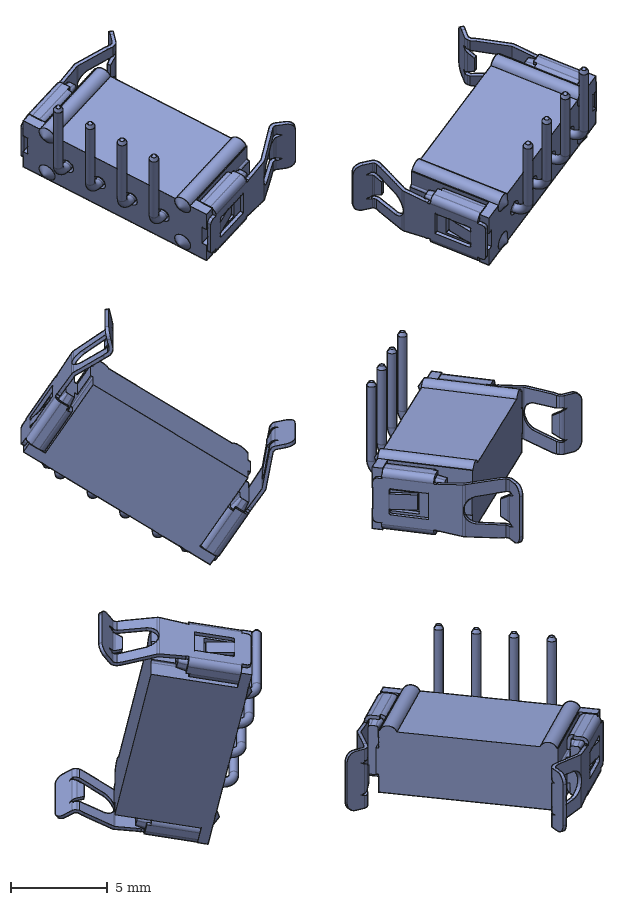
import cadquery as cq
import math


body_half_width = 4.76
body_length = 5.1
body_height = 3.55
mid_height = body_height / 2
flange_half_width = 5.75
flange_thickness = 0.56

peg_radius = 0.5
peg_x = 4.25
peg_spacing = 2.85
peg_cone_height = 0.3

pin_count = 4
pin_pitch = 2.0
pin_positions = [(i - (pin_count - 1) / 2) * pin_pitch for i in range(pin_count)]
pin_radius = 0.25
pin_drop = 0.8
pin_bend_radius = 0.79
pin_insertion = 1.19
pin_top = 7.05
pin_tip_radius = 0.13
pin_tip_length = 0.2
countersink_radius = 0.4
countersink_depth = 0.15

sheet = 0.2
clip_outer_x = 5.95
clip_inner_x = body_half_width
sleeve_height = 3.45
sleeve_radius = 0.37
sleeve_end_y = 3.34
inner_wall_end_y = 3.14
inner_wall_gap = 1.67
clip_front_y = 0.08
front_tab_half_height = 1.27
front_tab_radius = 0.24

leaf_bend_y = 4.96
waist_x = 5.09
waist_start_y = 6.97
waist_end_y = 7.14
leaf_tip_y = 8.06
bend_radius = 0.14
flare_start_y = 3.69
flare_end_y = 6.66
leaf_half_height = 1.69
leaf_corner_radius = 0.52
relief_radius = 0.08
relief_depth = 0.05

opening_y = 4.93
opening_arc_y = 5.51
opening_arc_half_height = 0.79
slot_y = 7.25
slot_half_height = 1.0
slot_tip_y = 7.4
slot_tip_half_height = 0.9
tongue_end_y = 6.68
tongue_half_height = 0.49

window_start_y = 0.96
window_end_y = 3.06
window_half_height = 0.75
window_radius = 0.1
barb_end_y = 2.39
barb_half_height = 0.44
barb_depth = 0.29

block_radius = 0.25
block_end_y = 3.85
block_taper = 0.13
pocket_end_y = 2.51
pocket_half_height = 0.61
rib_x = 4.91
rib_height = 1.48
rib_faces_z = (mid_height - rib_height / 2, mid_height + rib_height / 2)
rib_fillet = 0.08
block_fillet = 0.05


def box(x_range, y_range, z_range):
    """Axis-aligned box between the given limits."""
    size = [high - low for low, high in (x_range, y_range, z_range)]
    return cq.Workplane("XY").box(*size, centered=False).translate((x_range[0], y_range[0], z_range[0]))


def mid_box(x_range, y_range, half_height):
    """Box centred on the middle height of the housing."""
    return box(x_range, y_range, (mid_height - half_height, mid_height + half_height))


def nearest(x, y, z):
    """Selector of the edge whose middle is nearest the given point."""
    return cq.selectors.NearestToPointSelector((x, y, z))


def mirrored(shape):
    """Copy of a left-hand shape on the right side."""
    return shape.mirror("YZ")


def side_prism(outline):
    """Extrude a closed (y, z) wire outline, z measured from mid height, across the left side."""
    return outline.extrude(clip_outer_x).translate((-clip_outer_x, 0, mid_height))


def plan_prism(points, half_height):
    """Extrude a closed (x, y) polygon to both sides of mid height."""
    outline = cq.Workplane("XY", origin=(0, 0, mid_height)).polyline(points).close()
    return outline.extrude(half_height, both=True)


def folded_strip(points, thickness):
    """Points of a folded strip: the given face, then the face offset to its right with mitred folds."""
    normals = []
    for (x0, y0), (x1, y1) in zip(points, points[1:]):
        run = math.hypot(x1 - x0, y1 - y0)
        normals.append(((y1 - y0) / run, (x0 - x1) / run))
    offset_face = []
    for (x, y), (ax, ay), (bx, by) in zip(points, normals[:1] + normals, normals + normals[-1:]):
        mitre = thickness / (1 + ax * bx + ay * by)
        offset_face.append((x + mitre * (ax + bx), y + mitre * (ay + by)))
    return points + offset_face[::-1]


def make_peg(x, z):
    """Round peg along the housing with a conical nose in front of it."""
    profile = [(0, -peg_cone_height), (peg_radius, 0), (peg_radius, body_length), (0, body_length)]
    peg = cq.Workplane("XY").polyline(profile).close().revolve(360, (0, 0, 0), (0, 1, 0))
    return peg.translate((x, 0, z))


def make_carrier():
    """Left block that carries a clip, with a tapered end and the rib that joins it to the body."""
    inner_x = clip_inner_x + sheet
    half_height = sleeve_height / 2 - sheet
    block = mid_box((-flange_half_width, -inner_x), (0, inner_wall_end_y), half_height)
    block = block.edges("|Y").fillet(block_radius)
    taper_length = block_end_y - inner_wall_end_y
    taper_angle = math.degrees(math.atan(block_taper / taper_length))
    end_outline = block.faces(">Y").wires().toPending().workplane()
    tip = end_outline.extrude(taper_length, taper=taper_angle, combine=False)
    block_middle_x = (flange_half_width + inner_x) / 2
    web = mid_box((-block_middle_x, -body_half_width), (0, block_end_y), rib_height / 2)
    rib = mid_box((-rib_x, -body_half_width), (0, body_length), rib_height / 2)
    carrier = block.union(tip).union(web).union(rib)
    tip_middle = (-inner_x - block_taper / 2, (inner_wall_end_y + block_end_y) / 2)
    for z in rib_faces_z:
        straight_edge = carrier.edges(nearest(-inner_x, inner_wall_end_y / 2, z))
        carrier = straight_edge.add(carrier.edges(nearest(*tip_middle, z))).fillet(block_fillet)
    return carrier


def make_pocket():
    """Recess in the left block and flange, open to the front, that takes the barb."""
    x_range = (-flange_half_width, barb_depth - flange_half_width)
    return mid_box(x_range, (0, pocket_end_y), pocket_half_height)


def make_housing():
    body = box((-body_half_width, body_half_width), (0, body_length), (0, body_height))
    flange = box((-flange_half_width, flange_half_width), (0, flange_thickness), (0, body_height))
    housing = body.union(flange)
    carrier = make_carrier()
    pocket = make_pocket()
    housing = housing.union(carrier).union(mirrored(carrier)).cut(pocket).cut(mirrored(pocket))
    for x in (-body_half_width, body_half_width):
        for z in rib_faces_z:
            housing = housing.edges(nearest(x, body_length / 2, z)).fillet(rib_fillet)
    for x in (-peg_x, peg_x):
        for z in (peg_radius, peg_radius + peg_spacing):
            housing = housing.union(make_peg(x, z))
    for x in pin_positions:
        housing = housing.cut(make_pin_hole(x))
    return housing


def make_pin_hole(x):
    """Blind hole with a countersink at the front face."""
    profile = [(0, 0), (countersink_radius, 0), (pin_radius, countersink_depth),
               (pin_radius, pin_insertion), (0, pin_insertion)]
    hole = cq.Workplane("XY").polyline(profile).close().revolve(360, (0, 0, 0), (0, 1, 0))
    return hole.translate((x, 0, mid_height))


def make_pin(x):
    """Round pin that leaves the housing toward -Y and bends up to a tapered tip."""
    bend_start_y = pin_bend_radius - pin_drop
    bend_middle = pin_bend_radius * (1 - math.sqrt(0.5))
    shoulder_z = pin_top - pin_tip_length
    path = (
        cq.Workplane("YZ")
        .moveTo(pin_insertion, mid_height)
        .lineTo(bend_start_y, mid_height)
        .threePointArc((bend_middle - pin_drop, mid_height + bend_middle),
                       (-pin_drop, mid_height + pin_bend_radius))
        .lineTo(-pin_drop, shoulder_z)
    )
    shaft = (
        cq.Workplane("XZ", origin=(0, pin_insertion, mid_height))
        .circle(pin_radius)
        .sweep(path)
    )
    tip_base = cq.Vector(0, -pin_drop, shoulder_z)
    tip = cq.Solid.makeCone(pin_radius, pin_tip_radius, pin_tip_length, pnt=tip_base)
    return shaft.union(cq.Workplane(tip)).translate((x, 0, 0))


def make_sleeve():
    """Tube of sheet around the carrier block, split along its inner wall."""
    length = (flange_thickness, sleeve_end_y)
    outer = mid_box((-clip_outer_x, -clip_inner_x), length, sleeve_height / 2)
    outer = outer.edges("|Y").fillet(sleeve_radius)
    bore = mid_box((sheet - clip_outer_x, -clip_inner_x - sheet), length, sleeve_height / 2 - sheet)
    bore = bore.edges("|Y").fillet(sleeve_radius - sheet)
    bend_x = clip_inner_x + sleeve_radius
    split = mid_box((-clip_inner_x - sheet, -clip_inner_x), length, inner_wall_gap / 2)
    step = mid_box((-bend_x, -clip_inner_x), (inner_wall_end_y, sleeve_end_y), sleeve_height / 2)
    return outer.cut(bore).cut(split).cut(step)


def round_fold(strip, corner, radius):
    """Round the upright edge of the strip that stands on the given (x, y) corner."""
    return strip.edges(nearest(*corner, mid_height)).fillet(radius)


def make_leaf():
    """Outer wall of the clip and its folded spring leaf."""
    flare_run = leaf_tip_y - waist_end_y - sheet * math.sqrt(0.5)
    folds = [(-clip_outer_x, clip_front_y), (-clip_outer_x, leaf_bend_y), (-waist_x, waist_start_y),
             (-waist_x, waist_end_y), (-waist_x - flare_run, waist_end_y + flare_run)]
    corners = folded_strip(folds, sheet)
    strip = plan_prism(corners, leaf_half_height)
    outer_side_bend, outer_side_waist = corners[1], corners[3]
    inner_side_waist, inner_side_bend = corners[-4], corners[-2]
    for corner in (outer_side_bend, inner_side_waist):
        strip = round_fold(strip, corner, bend_radius + sheet)
    for corner in (inner_side_bend, outer_side_waist):
        strip = round_fold(strip, corner, bend_radius)
    strip = strip.faces(">Y").edges(">Z or <Z").edges("not |Z")
    strip = strip.fillet(leaf_corner_radius)

    wall_half_height = sleeve_height / 2 - sleeve_radius
    upper_edge = [(clip_front_y, front_tab_half_height), (flange_thickness, front_tab_half_height),
                  (flange_thickness, wall_half_height), (flare_start_y, wall_half_height),
                  (flare_end_y, leaf_half_height), (leaf_tip_y, leaf_half_height)]
    lower_edge = [(y, -z) for y, z in reversed(upper_edge)]
    outline = side_prism(cq.Workplane("YZ").polyline(upper_edge + lower_edge).close())
    outline = outline.faces("<Y").edges("|X").fillet(front_tab_radius)
    leaf = strip.intersect(outline)

    relief_z = wall_half_height - relief_depth + relief_radius
    relief_centres = [(sleeve_end_y + relief_radius, z) for z in (-relief_z, relief_z)]
    reliefs = side_prism(cq.Workplane("YZ").pushPoints(relief_centres).circle(relief_radius))
    return leaf.cut(reliefs)


def tongue_half_height_at(y):
    """Half height of the tongue, which widens from its free end to the slot tips."""
    slope = (slot_tip_half_height - tongue_half_height) / (slot_tip_y - tongue_end_y)
    return tongue_half_height + slope * (y - tongue_end_y)


def make_opening():
    """U-shaped opening in the leaf with a slot running up each side of the tongue."""
    root = tongue_half_height_at(waist_start_y)
    outline = (
        cq.Workplane("YZ")
        .moveTo(opening_arc_y, -opening_arc_half_height)
        .threePointArc((opening_y, 0), (opening_arc_y, opening_arc_half_height))
        .lineTo(slot_y, slot_half_height)
        .lineTo(slot_tip_y, slot_tip_half_height)
        .lineTo(waist_start_y, root)
        .lineTo(waist_start_y, -root)
        .lineTo(slot_tip_y, -slot_tip_half_height)
        .lineTo(slot_y, -slot_half_height)
        .close()
    )
    return side_prism(outline)


def make_tongue():
    """Flat tongue that continues the waist of the leaf back into the opening."""
    root = tongue_half_height_at(waist_start_y)
    outline = [(tongue_end_y, -tongue_half_height), (tongue_end_y, tongue_half_height),
               (waist_start_y, root), (waist_start_y, -root)]
    tongue = cq.Workplane("YZ").polyline(outline).close().extrude(sheet)
    return tongue.translate((-waist_x, 0, mid_height))


def make_window():
    """Window in the outer wall around the barb."""
    x_range = (-clip_outer_x, sheet - clip_outer_x)
    window = mid_box(x_range, (window_start_y, window_end_y), window_half_height)
    return window.faces("<Y").edges("|X").fillet(window_radius)


def make_barb():
    """Strip bent inward from the front edge of the window."""
    wall_x = clip_outer_x - sheet
    points = [(-clip_outer_x, window_start_y), (barb_depth - clip_outer_x, barb_end_y),
              (barb_depth - wall_x, barb_end_y), (-wall_x, window_start_y)]
    return plan_prism(points, barb_half_height)


def make_clip():
    """Left-hand clip."""
    sheet_metal = make_leaf().cut(make_opening()).union(make_tongue())
    return sheet_metal.union(make_sleeve()).cut(make_window()).union(make_barb())


housing = make_housing()
pins = [make_pin(x) for x in pin_positions]
left_clip = make_clip()
right_clip = mirrored(left_clip)

result = cq.Compound.makeCompound(
    [housing.val(), *[pin.val() for pin in pins], left_clip.val(), right_clip.val()]
)